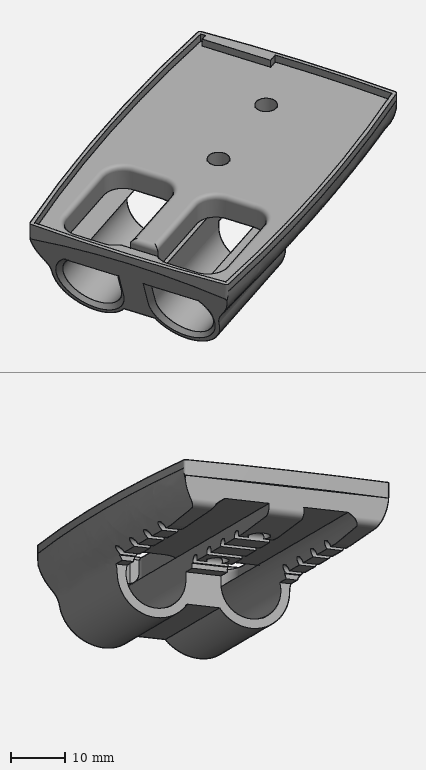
import cadquery as cq
import math

LENGTH = 69.15
WIDTH = 44.69
HEIGHT = 19.74
CORNER_X = 20.7
CORNER_Y = 33.95
CORNER_RADIUS = 0.5

RIM_HEIGHT = 1.6
RIM_WALL = 0.75
TAB_X = (-19.0, -4.7)
TAB_FRONT_Y = 31.95

TUBE_X = 9.6
TUBE_RADIUS = 7.85
BORE_RADIUS = 6.05
BORE_ROOF_Z = -6.54
MOUTH_CHAMFER = 1.0
TUBE_AXIS_Z = TUBE_RADIUS - HEIGHT
TUBE_BACK_Y = -4.5
WEB_BOTTOM_Z = -16.5

WAIST_X = TUBE_X + TUBE_RADIUS
FLANK_MIDDLE_Z = -7.8
FLANK_MIDDLE_SHARE = 0.5
FRONT_SLOPE_TOP_Z = -1.6
FRONT_ANGLE = 18.8
FRONT_Y = -LENGTH / 2
FRONT_FOOT_Y = FRONT_Y + (HEIGHT + FRONT_SLOPE_TOP_Z) * math.tan(math.radians(FRONT_ANGLE))
BACK_STEP_Z = -3.0
BACK_FACE_Y = 33.9
BACK_FOOT_Y = 33.7
BACK_FOOT_Z = -8.7
BACK_FOOT_RADIUS = 1.5
GRIP_BOTTOM_Z = -9.4
GRIP_SLOPE_END_Y = 21.9
STEP_BOTTOM_Z = -10.35
STEP_Y = -1.6

NOTCH_COUNT = 4
NOTCH_FIRST_Y = -0.25
NOTCH_PITCH = 6.35
NOTCH_RADIUS = 0.95
NOTCH_Z = -9.05

POCKET_X = (2.7, 16.7)
POCKET_Y = (-30.5, -7.8)
POCKET_CORNER_RADIUS = 4.0
POCKET_EDGE_RADIUS = 1.0
PASSAGE_Y = (-29.4, -27.65)
PASSAGE_FLOOR_RADIUS = 1.7

HOLE_DIAMETER = 4.2
HOLE_YS = (2.1, 21.15)


def bowed_plate(depth, inset=0.0):
    """Bowed outline, optionally inset, extruded down from the top face."""
    corner_x = CORNER_X - inset
    corner_y = CORNER_Y - inset
    side_x = WIDTH / 2 - inset
    end_y = LENGTH / 2 - inset
    return (
        cq.Workplane("XY")
        .moveTo(-corner_x, -corner_y)
        .threePointArc((0, -end_y), (corner_x, -corner_y))
        .threePointArc((side_x, 0), (corner_x, corner_y))
        .threePointArc((0, end_y), (-corner_x, corner_y))
        .threePointArc((-side_x, 0), (-corner_x, -corner_y))
        .close()
        .extrude(-depth)
    )


def box(x_range, y_range, z_range):
    size = [high - low for low, high in (x_range, y_range, z_range)]
    corner = (x_range[0], y_range[0], z_range[0])
    return cq.Workplane("XY").box(*size, centered=False).translate(corner)


def flank_section(y, half_width):
    """Cross-section at one Y: S-shaped flanks from the rim in to the tube waist."""
    middle_x = WAIST_X + FLANK_MIDDLE_SHARE * (half_width - WAIST_X)
    rim = cq.Vector(half_width, y, -RIM_HEIGHT)
    middle = cq.Vector(middle_x, y, FLANK_MIDDLE_Z)
    waist = cq.Vector(WAIST_X, y, TUBE_AXIS_Z)
    down = cq.Vector(0, 0, -1)
    right = cq.Edge.makeSpline([rim, middle, waist], tangents=[down, down])
    left = right.mirror("YZ")
    top = cq.Edge.makeLine(cq.Vector(-half_width, y, -RIM_HEIGHT), rim)
    bottom = cq.Edge.makeLine(waist, cq.Vector(-WAIST_X, y, TUBE_AXIS_Z))
    return cq.Wire.assembleEdges([top, right, bottom, left])


def make_flanks():
    """Body below the rim, lofted along Y through both ends and the middle."""
    end_y = LENGTH / 2
    end_half_width = WIDTH / 2 - (WIDTH / 2 - CORNER_X) * (end_y / CORNER_Y) ** 2
    sections = [
        flank_section(-end_y, end_half_width),
        flank_section(0, WIDTH / 2),
        flank_section(end_y, end_half_width),
    ]
    return cq.Workplane(cq.Solid.makeLoft(sections))


def make_tubes():
    """Solid tubes and the web between them, before boring."""
    axes = [(-TUBE_X, TUBE_AXIS_Z), (TUBE_X, TUBE_AXIS_Z)]
    back_plane = cq.Workplane("XZ", origin=(0, LENGTH / 2, 0))
    tubes = back_plane.pushPoints(axes).circle(TUBE_RADIUS).extrude(LENGTH)
    web = box((-TUBE_X, TUBE_X), (-LENGTH / 2, LENGTH / 2), (WEB_BOTTOM_Z, TUBE_AXIS_Z))
    return tubes.union(web)


def make_side_profile():
    """Side silhouette: sloped front face, tube step, underside and back face."""
    bend = BACK_FOOT_RADIUS * (1 - math.sqrt(0.5))
    return (
        cq.Workplane("YZ", origin=(-WIDTH / 2, 0, 0))
        .moveTo(FRONT_Y, 0)
        .lineTo(FRONT_Y, FRONT_SLOPE_TOP_Z)
        .lineTo(FRONT_FOOT_Y, -HEIGHT)
        .lineTo(TUBE_BACK_Y, -HEIGHT)
        .lineTo(TUBE_BACK_Y, STEP_BOTTOM_Z)
        .lineTo(STEP_Y, STEP_BOTTOM_Z)
        .lineTo(STEP_Y, GRIP_BOTTOM_Z)
        .lineTo(GRIP_SLOPE_END_Y, GRIP_BOTTOM_Z)
        .lineTo(BACK_FOOT_Y - BACK_FOOT_RADIUS, BACK_FOOT_Z)
        .threePointArc(
            (BACK_FOOT_Y - bend, BACK_FOOT_Z + bend),
            (BACK_FOOT_Y, BACK_FOOT_Z + BACK_FOOT_RADIUS),
        )
        .lineTo(BACK_FACE_Y, BACK_STEP_Z)
        .lineTo(LENGTH / 2, BACK_STEP_Z)
        .lineTo(LENGTH / 2, 0)
        .close()
        .extrude(WIDTH)
    )


def make_body():
    """Outer shape: rim band, flanks and tubes trimmed to the plan and side outlines."""
    rim_band = bowed_plate(RIM_HEIGHT).edges("|Z").fillet(CORNER_RADIUS)
    envelope = bowed_plate(HEIGHT).edges("|Z").fillet(CORNER_RADIUS)
    lower = make_flanks().union(make_tubes()).intersect(envelope)
    return rim_band.union(lower).intersect(make_side_profile())


def make_rim_recess():
    """Shallow tray inside the rim, leaving the thickened tab at the +Y end."""
    tab = box(TAB_X, (TAB_FRONT_Y, LENGTH / 2), (-RIM_HEIGHT, 0))
    return bowed_plate(RIM_HEIGHT, RIM_WALL).cut(tab)


def make_pockets():
    """Two rounded pockets down to the bore roof, linked by a passage near the front."""
    depth = (BORE_ROOF_Z, -RIM_HEIGHT)
    right = box(POCKET_X, POCKET_Y, depth).edges("|Z").fillet(POCKET_CORNER_RADIUS)
    left = right.mirror("YZ")
    link_x = POCKET_X[0] + POCKET_CORNER_RADIUS
    passage = box((-link_x, link_x), PASSAGE_Y, depth)
    passage = passage.edges("|X and >Y and <Z").fillet(PASSAGE_FLOOR_RADIUS)
    return right.union(left).union(passage)


def make_bore():
    """Right-hand D-shaped bore, the whole length: straight inner wall, flat roof, flared mouth."""
    half = math.sqrt(0.5) * BORE_RADIUS
    full_bore = (
        cq.Workplane("XZ", origin=(TUBE_X, LENGTH / 2, TUBE_AXIS_Z))
        .moveTo(-BORE_RADIUS, BORE_RADIUS)
        .lineTo(0, BORE_RADIUS)
        .threePointArc((BORE_RADIUS, 0), (0, -BORE_RADIUS))
        .threePointArc((-half, -half), (-BORE_RADIUS, 0))
        .close()
        .extrude(LENGTH)
    )
    block_outline = [
        (FRONT_Y, FRONT_SLOPE_TOP_Z),
        (FRONT_FOOT_Y, -HEIGHT),
        (0, -HEIGHT),
        (0, FRONT_SLOPE_TOP_Z),
    ]
    block = cq.Workplane("YZ").polyline(block_outline).close().extrude(WIDTH / 2)
    bored_block = block.cut(full_bore)
    mouth = bored_block.faces("<Y").wires(cq.selectors.AreaNthSelector(0))
    flare = block.cut(mouth.chamfer(MOUTH_CHAMFER))
    below_roof = box((0, WIDTH / 2), (-LENGTH / 2, LENGTH / 2), (-HEIGHT, BORE_ROOF_Z))
    return full_bore.union(flare).intersect(below_roof)


def make_notches():
    """Row of round grooves running across the underside."""
    spots = [(NOTCH_FIRST_Y + i * NOTCH_PITCH, NOTCH_Z) for i in range(NOTCH_COUNT)]
    plane = cq.Workplane("YZ", origin=(-WIDTH / 2, 0, 0))
    return plane.pushPoints(spots).circle(NOTCH_RADIUS).extrude(WIDTH)


def make_screw_holes():
    """Through holes on the centre line."""
    spots = [(0, y) for y in HOLE_YS]
    return cq.Workplane("XY").pushPoints(spots).circle(HOLE_DIAMETER / 2).extrude(-HEIGHT)


def round_pocket_edges(solid):
    """Fillet the pocket and passage openings where they meet the tray floor."""
    margin = 0.1
    opening = cq.selectors.BoxSelector(
        (-WAIST_X, POCKET_Y[0] - margin, -RIM_HEIGHT - margin),
        (WAIST_X, POCKET_Y[1] + margin, -RIM_HEIGHT + margin),
    )
    return solid.edges(opening).fillet(POCKET_EDGE_RADIUS)


body = make_body()
body = body.cut(make_rim_recess())
body = body.cut(make_notches())
body = body.cut(make_screw_holes())
body = body.cut(make_pockets())
body = round_pocket_edges(body)

bore = make_bore()
result = body.cut(bore).cut(bore.mirror("YZ"))